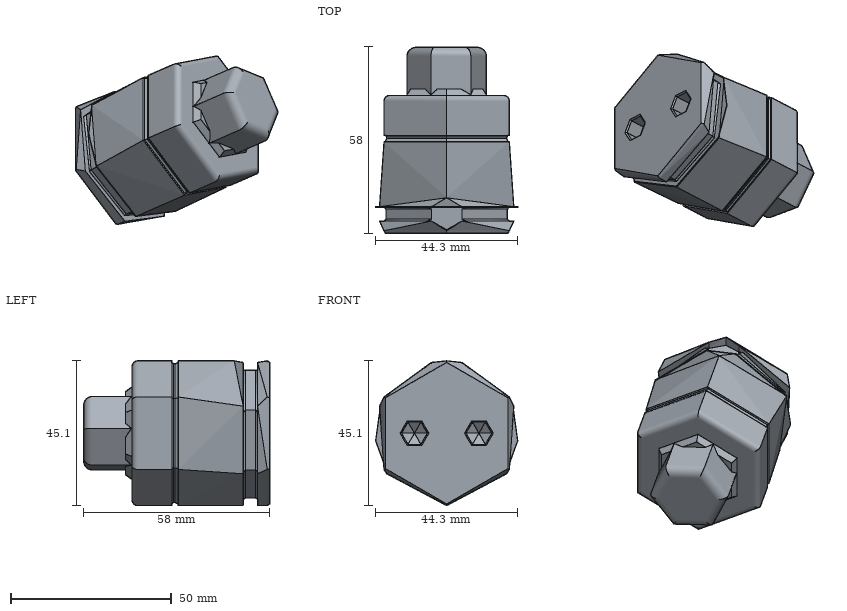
import cadquery as cq
import math


length = 58.0
flange_front_y = 0.8
flange_back_y = 3.8
lip_y = 8.1
body_front_y = 8.3
notch_tip_y = 11.1
body_back_y = 28.5
joint_y = 29.45
joint_floor_end_y = 30.0
cap_front_y = 30.5
cap_back_y = 43.0
wiper_back_y = 45.0

outer_radius = 22.55
front_chamfer = 0.5
lip_radius = 22.3
joint_radius = 21.65
joint_shoulder_radius = 22.05
joint_step = 0.2
cap_fillet = 1.85

notch_half_width = 4.75
notch_floor_z = 19.65
notch_floor_tip_y = 1.1
neck_collar_height = 0.35
neck_collar_length = 0.6

hole_radius = 4.0
hole_spacing = 20.05
hole_depth = 11.6
hole_chamfer = 0.45
drill_half_angle = 59.0

plunger_radius = 12.45
plunger_turn = 23.0
plunger_fillet = 2.8
wiper_radius = 14.4
wiper_tip_radius = 12.9
wiper_seat_depth = 2.0

hexagon_angles = [90.0 - 60.0 * i for i in range(6)]
hole_angles = [60.0 * i for i in range(6)]


def point(radius, angle, y):
    """Point on a circle about the Y axis; angle 0 is +X and 90 is +Z."""
    turn = math.radians(angle)
    return cq.Vector(radius * math.cos(turn), y, radius * math.sin(turn))


def ring(radius, y, angles):
    return [point(radius, angle, y) for angle in angles]


def notched_angles(half_gap, segments_per_side):
    """Corner angles from the right edge of the top gap, around the bottom, to the left edge."""
    count = 2 * segments_per_side
    step = (360.0 - 2.0 * half_gap) / count
    return [90.0 - half_gap - i * step for i in range(count + 1)]


def skin(*rings):
    """Solid with flat-sided bands joining successive rings of equally many corners."""
    wires = [cq.Wire.makePolygon(corners, close=True) for corners in rings]
    return cq.Workplane(cq.Solid.makeLoft(wires, ruled=True))


def hexagon_skin(*stations):
    """Six-sided solid through (radius, y) stations, with a corner at the top."""
    return skin(*[ring(radius, y, hexagon_angles) for radius, y in stations])


def prism(radius, front_y, back_y, angles):
    return skin(ring(radius, front_y, angles), ring(radius, back_y, angles))


def mirrored(corner):
    return cq.Vector(-corner.x, corner.y, corner.z)


def facet(corners):
    return cq.Face.makeFromWires(cq.Wire.makePolygon(corners, close=True))


def symmetric_polyhedron(right_facets, crossing_facets):
    """Solid closed by facets on the right, their mirror images and facets across the middle."""
    left_facets = [[mirrored(corner) for corner in corners] for corners in right_facets]
    faces = [facet(corners) for corners in right_facets + left_facets + crossing_facets]
    return cq.Workplane(cq.Solid.makeSolid(cq.Shell.makeShell(faces)).fix())


outer_gap = math.degrees(math.asin(notch_half_width / outer_radius))
rim_angles = notched_angles(outer_gap, 3)


def rim_skirt(hexagon, rim):
    """Facets of the right side below the top: the hexagon and rim corners joined in zigzag."""
    shoulder, hip, bottom = hexagon[1:4]
    rim_side, rim_hip, rim_bottom = rim[1:4]
    return [
        [shoulder, rim_side, hip],
        [hip, rim_side, rim_hip],
        [hip, rim_hip, bottom],
        [bottom, rim_hip, rim_bottom],
    ]


def make_body():
    """Housing body, from the hexagon at the joint to the rim with the notch tip in its top edge."""
    hexagon = ring(outer_radius, body_back_y, hexagon_angles)
    rim = ring(outer_radius, body_front_y, rim_angles)
    top, shoulder = hexagon[:2]
    gap_edge, rim_side = rim[:2]
    notch_tip = point(outer_radius, 90, notch_tip_y)
    right_facets = rim_skirt(hexagon, rim) + [
        [top, shoulder, notch_tip],
        [notch_tip, shoulder, rim_side],
        [notch_tip, rim_side, gap_edge],
    ]
    notch_slope = [notch_tip, gap_edge, mirrored(gap_edge)]
    return symmetric_polyhedron(right_facets, [hexagon, rim, notch_slope])


def make_flange():
    """Flange, from its front hexagon to the rim, with the notch cut down to the flat floor."""
    hexagon = ring(outer_radius, flange_front_y, hexagon_angles)
    rim = ring(outer_radius, flange_back_y, rim_angles)
    top, shoulder = hexagon[:2]
    gap_edge, rim_side = rim[:2]
    floor_edge = cq.Vector(notch_half_width, flange_back_y, notch_floor_z)
    floor_tip = cq.Vector(0, notch_floor_tip_y, notch_floor_z)
    right_facets = rim_skirt(hexagon, rim) + [
        [top, shoulder, gap_edge],
        [gap_edge, shoulder, rim_side],
        [top, gap_edge, floor_edge],
        [top, floor_edge, floor_tip],
    ]
    back = [floor_edge, *rim, mirrored(floor_edge)]
    notch_floor = [floor_tip, floor_edge, mirrored(floor_edge)]
    return symmetric_polyhedron(right_facets, [hexagon, back, notch_floor])


def make_lip():
    """Thin lip in front of the body: the rim corners and one extra corner on each side."""
    side_angle = (rim_angles[1] + rim_angles[2]) / 2.0
    angles = rim_angles[:2] + [side_angle] + rim_angles[2:5] + [180.0 - side_angle] + rim_angles[5:]
    return prism(lip_radius, lip_y, body_front_y, angles)


def neck_ring(radius, y):
    half_gap = math.degrees(math.acos(notch_floor_z / radius))
    return ring(radius, y, notched_angles(half_gap, 3))


def make_neck():
    radius = math.hypot(notch_half_width, notch_floor_z)
    collar_radius = radius + neck_collar_height
    return skin(
        neck_ring(collar_radius, flange_back_y),
        neck_ring(radius, flange_back_y + neck_collar_length),
        neck_ring(radius, lip_y - neck_collar_length),
        neck_ring(collar_radius, lip_y),
        neck_ring(collar_radius, body_front_y),
    )


def drill_point(center_x):
    """Six-sided cone at the bottom of a mounting hole."""
    cone_height = hole_radius / math.tan(math.radians(drill_half_angle))
    offset = cq.Vector(center_x, 0, 0)
    tip = cq.Vector(center_x, hole_depth + cone_height, 0)
    rim = [corner + offset for corner in ring(hole_radius, hole_depth, hole_angles)]
    sides = [facet([rim[i - 1], rim[i], tip]) for i in range(len(rim))]
    return cq.Workplane(cq.Solid.makeSolid(cq.Shell.makeShell(sides + [facet(rim)])).fix())


def mounting_hole(center_x):
    """Chamfered blind hole in the mounting face, with a corner toward +X and a drill point."""
    bore = skin(
        ring(hole_radius + hole_chamfer, 0, hole_angles),
        ring(hole_radius, hole_chamfer, hole_angles),
        ring(hole_radius, hole_depth, hole_angles),
    )
    return bore.translate((center_x, 0, 0)).union(drill_point(center_x))


def make_housing():
    mounting_face = hexagon_skin((outer_radius - front_chamfer, 0), (outer_radius, flange_front_y))
    joint_face = hexagon_skin(
        (outer_radius, body_back_y),
        (joint_shoulder_radius, body_back_y + joint_step),
        (joint_radius, joint_y),
    )
    housing = make_body().union(joint_face)
    for section in (make_lip(), make_neck(), make_flange(), mounting_face):
        housing = housing.union(section)
    for side in (-1, 1):
        housing = housing.cut(mounting_hole(side * hole_spacing / 2.0))
    return housing


def plunger_prism(front_y, back_y):
    angles = [angle + plunger_turn for angle in hexagon_angles]
    return prism(plunger_radius, front_y, back_y, angles)


def wiper_seat(back_y):
    return hexagon_skin((wiper_radius, cap_back_y - wiper_seat_depth), (wiper_radius, back_y))


def make_cap():
    joint_face = hexagon_skin(
        (joint_radius, joint_y),
        (joint_radius, joint_floor_end_y),
        (joint_shoulder_radius, cap_front_y),
    )
    shell = prism(outer_radius, cap_front_y, cap_back_y, hexagon_angles)
    shell = shell.faces(">Y").edges().fillet(cap_fillet)
    plunger_bore = plunger_prism(joint_y, cap_back_y)
    return joint_face.union(shell).cut(plunger_bore).cut(wiper_seat(cap_back_y))


def make_wiper():
    lip_cone = hexagon_skin((wiper_radius, cap_back_y), (wiper_tip_radius, wiper_back_y))
    ring_body = wiper_seat(cap_back_y).union(lip_cone)
    return ring_body.cut(plunger_prism(joint_y, length))


def make_plunger():
    return plunger_prism(joint_y, length).faces(">Y").edges().fillet(plunger_fillet)


housing = make_housing()
cap = make_cap()
wiper = make_wiper()
plunger = make_plunger()

result = cq.Compound.makeCompound([body.solids().val() for body in (housing, cap, wiper, plunger)])